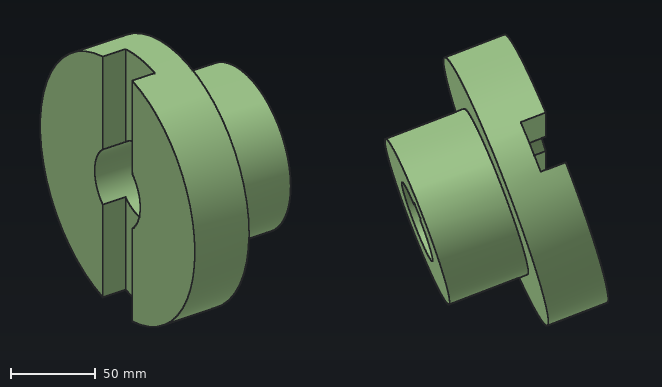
import cadquery as cq

flange_diameter = 170.0
flange_thickness = 38.0
hub_diameter = 105.0
hub_length = 50.0
bore_diameter = 50.0
keyway_width = 10.0
keyway_top = 30.0
slot_width = 32.3
slot_depth = 16.0

total_length = flange_thickness + hub_length


def cylinder(diameter, length, start=0.0):
    """Cylinder on the part axis, running towards +Y from the start position."""
    plane = cq.Workplane("XZ", origin=(0, start, 0))
    return plane.circle(diameter / 2).extrude(-length)


def block(width, depth, height):
    """Block centred on X, starting at the slotted face and at the axis height."""
    return cq.Workplane("XY").box(width, depth, height, centered=(True, False, False))


body = cylinder(flange_diameter, flange_thickness)
body = body.union(cylinder(hub_diameter, hub_length, flange_thickness))

body = body.cut(cylinder(bore_diameter, total_length))
body = body.cut(block(keyway_width, total_length, keyway_top))

slot = block(slot_width, slot_depth, flange_diameter)
slot = slot.translate((0, 0, -flange_diameter / 2))

result = body.cut(slot)